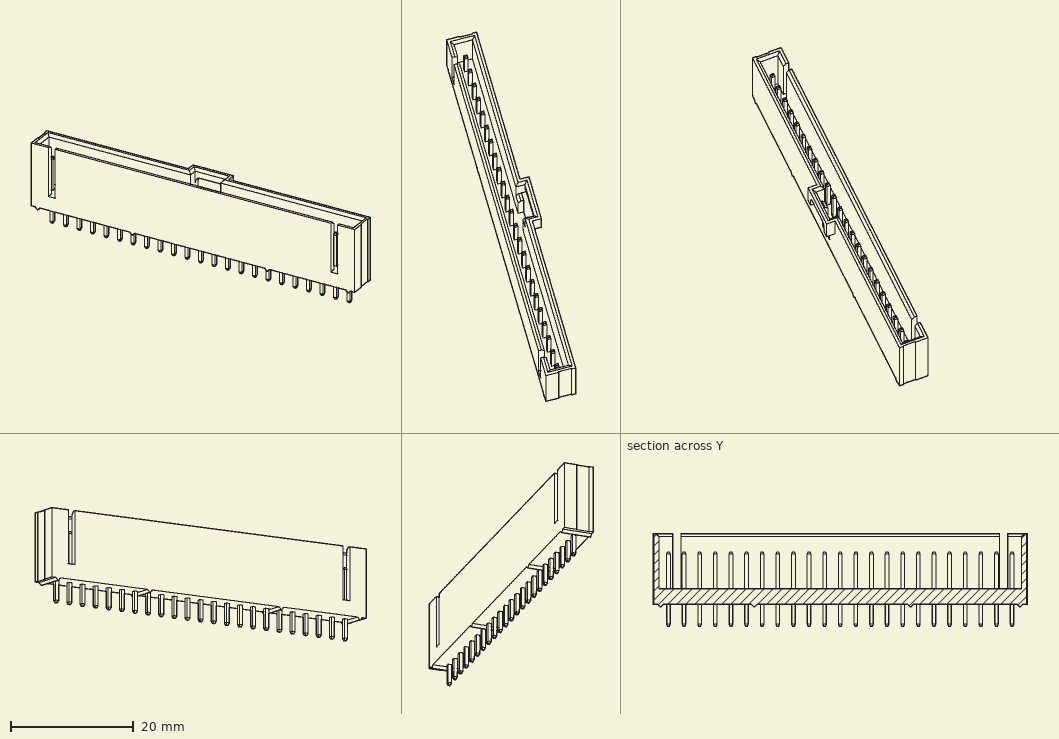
import cadquery as cq

length = 60.9
depth = 5.05
height = 11.5
wall = 1.0
floor_top = 2.55
lead_in = 0.5
tiny_overlap = 0.05

key_width = 7.6
key_reach = 1.5
key_height = 3.85
window_width = 3.0
key_opening_height = 2.25
key_opening_radius = 1.0

slot_width = 1.3
slot_spacing = 53.15

recess_depth = 0.1
recess_front = 2.2
recess_back = 4.3

pin_count = 23
pin_row_length = 55.9
pin_size = 0.6
pin_y = 2.55
pin_top = 8.5
pin_bottom = -3.6
pin_tip_length = 0.35
pin_tip_size = 0.3

ridge_drop = 0.4
ridge_crest_width = 0.1
ridge_pin_indices = (0, 7, 17, pin_count)

cavity_length = length - 2 * wall
cavity_back = depth - wall
key_cavity_width = key_width - 2 * wall
key_back = depth + key_reach
key_bottom = height - key_height
pin_pitch = pin_row_length / (pin_count - 1)
first_pin_x = -pin_row_length / 2


def block(width, y_start, y_end, z_start, z_end, x_centre=0):
    """Box centred on x_centre that fills the given Y and Z ranges."""
    anchor = (x_centre, y_start, z_start)
    size = (width, y_end - y_start, z_end - z_start)
    return cq.Workplane("XY", origin=anchor).box(*size, centered=(True, False, False))


def mouth_bevel(width, y_start, y_end, top):
    """Wedge that flares a rectangular opening outward by lead_in at its top."""
    y_middle = (y_start + y_end) / 2
    y_size = y_end - y_start
    return (
        cq.Workplane("XY", origin=(0, y_middle, top - lead_in))
        .rect(width, y_size)
        .workplane(offset=lead_in)
        .rect(width + 2 * lead_in, y_size + 2 * lead_in)
        .loft(ruled=True)
    )


def make_housing():
    body = block(length, 0, depth, 0, height)
    body = body.union(block(key_width, cavity_back, key_back, key_bottom, height))

    body = body.cut(block(cavity_length, wall, cavity_back, floor_top, height))
    body = body.cut(block(key_cavity_width, wall, key_back - wall, key_bottom, height))
    body = body.cut(mouth_bevel(cavity_length, wall, cavity_back, height))
    body = body.cut(mouth_bevel(key_cavity_width, wall, key_back - wall, height))

    low_bevel = mouth_bevel(cavity_length, wall, cavity_back, key_bottom)
    key_zone = block(key_cavity_width, cavity_back, depth, floor_top, key_bottom)
    body = body.cut(low_bevel.intersect(key_zone))
    body = body.cut(block(window_width, wall, depth, floor_top, key_bottom))

    opening_top = key_bottom + key_opening_height
    opening = block(key_cavity_width, depth, key_back + tiny_overlap, key_bottom, opening_top)
    body = body.cut(opening.edges("|Y and >Z").fillet(key_opening_radius))

    for side in (-1, 1):
        slot_x = side * slot_spacing / 2
        body = body.cut(block(slot_width, -tiny_overlap, wall + lead_in, floor_top, height, slot_x))
        end_x = side * length / 2
        body = body.cut(block(2 * recess_depth, recess_front, recess_back, 0, height, end_x))
    return body


def make_pin(x):
    """Square pin with a tapered tip at each end."""
    half = pin_size / 2
    shank_bottom = pin_bottom + pin_tip_length
    shank_top = pin_top - pin_tip_length
    pin = block(pin_size, pin_y - half, pin_y + half, shank_bottom, shank_top, x)
    for start, taper in ((shank_bottom, -pin_tip_length), (shank_top, pin_tip_length)):
        tip = (
            cq.Workplane("XY", origin=(x, pin_y, start))
            .rect(pin_size, pin_size)
            .workplane(offset=taper)
            .rect(pin_tip_size, pin_tip_size)
            .loft(ruled=True)
        )
        pin = pin.union(tip)
    return pin


def make_ridge(x):
    """Ridge with 45-degree flanks and a narrow flat crest, running the full depth of the base."""
    crest_half = ridge_crest_width / 2
    base_half = crest_half + ridge_drop
    outline = [(-base_half, 0), (-crest_half, -ridge_drop), (crest_half, -ridge_drop), (base_half, 0)]
    return cq.Workplane("XZ", origin=(x, 0, 0)).polyline(outline).close().extrude(-depth)


result = make_housing()
for index in ridge_pin_indices:
    result = result.union(make_ridge(first_pin_x + (index - 0.5) * pin_pitch))
for index in range(pin_count):
    result = result.union(make_pin(first_pin_x + index * pin_pitch))